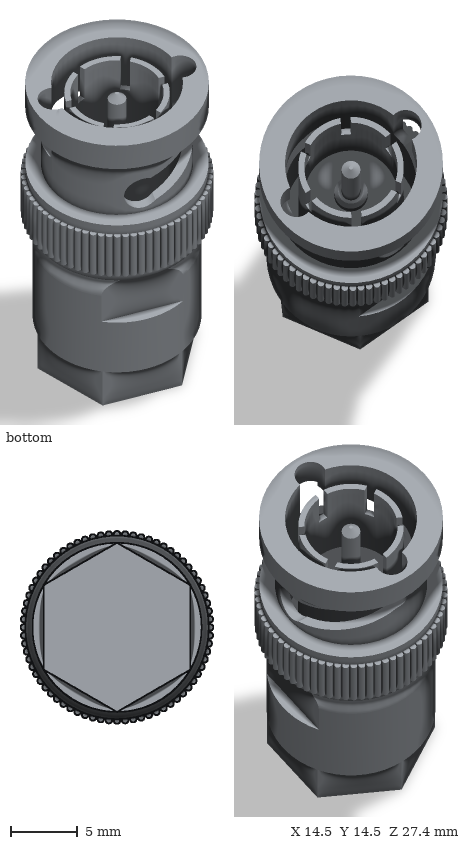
import cadquery as cq

HEX_TOP = 3.51
FLAT_BOTTOM = 8.64
BODY_TOP = 12.65
KNURL_BOTTOM = 14.23
KNURL_TOP = 18.29
SHOULDER_TOP = 19.18
COLLAR_BOTTOM = 25.02
TOTAL_HEIGHT = 27.43

BODY_RADIUS = 6.35
HEX_CORNER_RADIUS = BODY_RADIUS
BODY_EDGE_RADIUS = 1.36
FLAT_OFFSET = 5.45
SLEEVE_OUTER_RADIUS = 3.96
SLEEVE_INNER_RADIUS = 3.5
SLEEVE_TOP = 26.43
SLEEVE_FLOOR = SHOULDER_TOP
SLEEVE_SLOTS = 6
SLEEVE_SLOT_WIDTH = 0.76
SLEEVE_SLOT_DEPTH = 3.0

PIN_RADIUS = 0.7
PIN_TIP = 26.35
PIN_TIP_RADIUS = 0.14
PIN_CONE_HEIGHT = 0.55
PIN_FOOT_RADIUS = 1.26
PIN_FOOT_HEIGHT = 1.0
PIN_FOOT_CHAMFER = 0.3

GRIP_RADIUS = 6.88
COLLAR_RADIUS = 6.9
GRIP_EDGE_RADIUS = 1.52
NECK_RADIUS = 5.715
BORE_RADIUS = 4.95
BORE_FLOOR = KNURL_BOTTOM
KNURL_OUTER_RADIUS = 7.24
KNURL_TEETH = 72
TOOTH_RADIUS = 0.25

ENTRY_RADIUS = 1.2
ENTRY_OFFSET = 5.07
ENTRY_FLOOR = 22.29
ENTRY_FLOOR_FILLET = 0.45
RAMP_RISE = 2.57
RAMP_SWEEP = 90
RAMP_HEIGHT = 2.54
SEAT_RADIUS = 1.47
SEAT_HEIGHT = 21.1
WALL_CLEARANCE = 0.2


def cylinder(radius, bottom, top):
    return cq.Workplane("XY").workplane(offset=bottom).circle(radius).extrude(top - bottom)


def make_pin():
    foot = cylinder(PIN_FOOT_RADIUS, SLEEVE_FLOOR, SLEEVE_FLOOR + PIN_FOOT_HEIGHT)
    foot = foot.faces(">Z").edges().chamfer(PIN_FOOT_CHAMFER)
    rod = cylinder(PIN_RADIUS, SLEEVE_FLOOR, PIN_TIP)
    rod = rod.faces(">Z").edges().chamfer(PIN_CONE_HEIGHT, PIN_RADIUS - PIN_TIP_RADIUS)
    return foot.union(rod)


def make_body():
    hex_end = cq.Workplane("XY").polygon(6, 2 * HEX_CORNER_RADIUS).extrude(HEX_TOP)
    hex_end = hex_end.rotate((0, 0, 0), (0, 0, 1), 90)
    barrel = cylinder(BODY_RADIUS, HEX_TOP, BODY_TOP).faces(">Z").edges().fillet(BODY_EDGE_RADIUS)
    between_flats = (
        cq.Workplane("XY").workplane(offset=FLAT_BOTTOM)
        .rect(2 * FLAT_OFFSET, 2 * BODY_RADIUS).extrude(BODY_TOP - FLAT_BOTTOM)
    )
    barrel = barrel.intersect(between_flats.union(cylinder(BODY_RADIUS, HEX_TOP, FLAT_BOTTOM)))
    stem = cylinder(SLEEVE_OUTER_RADIUS, BODY_TOP, SLEEVE_TOP)
    body = hex_end.union(barrel).union(stem)
    body = body.cut(cylinder(SLEEVE_INNER_RADIUS, SLEEVE_FLOOR, SLEEVE_TOP))
    return body.cut(make_sleeve_slots())


def make_sleeve_slots():
    slots = cq.Workplane("XY")
    for index in range(SLEEVE_SLOTS // 2):
        slot = (
            cq.Workplane("XY").workplane(offset=SLEEVE_TOP)
            .rect(SLEEVE_SLOT_WIDTH, 2 * BORE_RADIUS).extrude(-SLEEVE_SLOT_DEPTH)
        )
        slots = slots.union(slot.rotate((0, 0, 0), (0, 0, 1), index * 360 / SLEEVE_SLOTS))
    return slots


def make_knurl():
    tooth_centre_radius = KNURL_OUTER_RADIUS - TOOTH_RADIUS
    return (
        cq.Workplane("XY").workplane(offset=KNURL_BOTTOM)
        .polarArray(tooth_centre_radius, 0, 360, KNURL_TEETH)
        .circle(TOOTH_RADIUS).extrude(KNURL_TOP - KNURL_BOTTOM)
    )


def make_bayonet_slot():
    """Cutters for the slot that enters at -Y and locks at -X."""
    inner_radius = BORE_RADIUS - WALL_CLEARANCE
    outer_radius = NECK_RADIUS + WALL_CLEARANCE
    entry = cylinder(ENTRY_RADIUS, ENTRY_FLOOR, TOTAL_HEIGHT).translate((0, -ENTRY_OFFSET, 0))
    entry = entry.faces("<Z").edges().fillet(ENTRY_FLOOR_FILLET)

    path = cq.Wire.makeHelix(360 / RAMP_SWEEP * RAMP_RISE, RAMP_RISE, inner_radius)
    ramp = (
        cq.Workplane("XZ")
        .moveTo(inner_radius, 0).lineTo(outer_radius, 0)
        .lineTo(outer_radius, RAMP_HEIGHT).lineTo(inner_radius, RAMP_HEIGHT).close()
        .sweep(cq.Workplane(path), isFrenet=True)
        .rotate((0, 0, 0), (0, 0, 1), 180)
        .translate((0, 0, ENTRY_FLOOR - RAMP_RISE))
    )
    seat = (
        cq.Workplane("YZ").workplane(offset=-outer_radius)
        .center(0, SEAT_HEIGHT).circle(SEAT_RADIUS)
        .extrude(outer_radius - SLEEVE_OUTER_RADIUS)
    )
    return [entry, ramp, seat]


def make_coupling():
    grip = cylinder(GRIP_RADIUS, BODY_TOP, SHOULDER_TOP).faces("<Z").edges().fillet(GRIP_EDGE_RADIUS)
    coupling = (
        grip.union(cylinder(NECK_RADIUS, SHOULDER_TOP, COLLAR_BOTTOM))
        .union(cylinder(COLLAR_RADIUS, COLLAR_BOTTOM, TOTAL_HEIGHT))
        .union(make_knurl())
        .cut(cylinder(SLEEVE_OUTER_RADIUS, BODY_TOP, TOTAL_HEIGHT))
        .cut(cylinder(BORE_RADIUS, BORE_FLOOR, TOTAL_HEIGHT))
    )
    for turn in (0, 180):
        for cutter in make_bayonet_slot():
            coupling = coupling.cut(cutter.rotate((0, 0, 0), (0, 0, 1), turn))
    return coupling


pin = make_pin()
body = make_body()
coupling = make_coupling()
result = cq.Compound.makeCompound([body.val(), coupling.val(), pin.val()])